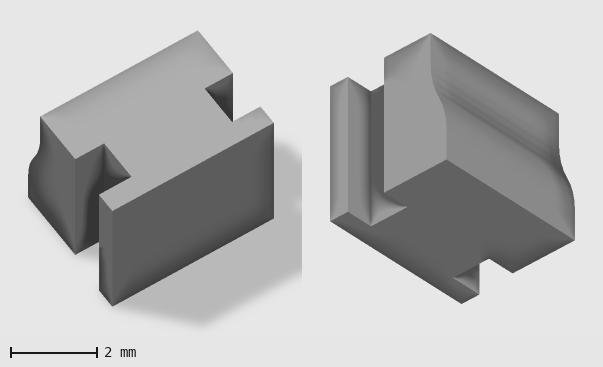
import cadquery as cq
import math

length = 3.66
width = 4.5
height = 3.83

flange_thickness = 0.56
slot_width = 1.14
head_step_y = 0.105
slot_floor_back = 0.79
slot_floor_front = 0.91

face_setback = 0.5
lower_flat_height = 0.865
lower_arc_height = 1.03
upper_arc_height = 1.075

flange_x = length - flange_thickness
head_back_x = flange_x - slot_width
lower_arc_end_z = lower_flat_height + lower_arc_height
upper_arc_end_z = lower_arc_end_z + upper_arc_height

curve_height = lower_arc_height + upper_arc_height
arc_sweep = 2 * math.atan(face_setback / curve_height)
lower_radius = lower_arc_height / math.sin(arc_sweep)
arc_join_x = lower_radius * (1 - math.cos(arc_sweep))


def make_head():
    """Block with the S-shaped -X face, extruded along Y."""
    return (
        cq.Workplane("XZ", origin=(0, width, 0))
        .moveTo(0, 0)
        .lineTo(0, lower_flat_height)
        .tangentArcPoint((arc_join_x, lower_arc_end_z), relative=False)
        .tangentArcPoint((face_setback, upper_arc_end_z), relative=False)
        .lineTo(face_setback, height)
        .lineTo(head_back_x, height)
        .lineTo(head_back_x, 0)
        .close()
        .extrude(width - head_step_y)
    )


def make_slab(x_start, x_end, y_start, y_end):
    """Full-height rectangular block between the given X and Y limits."""
    return (
        cq.Workplane("XY", origin=(x_start, y_start, 0))
        .rect(x_end - x_start, y_end - y_start, centered=False)
        .extrude(height)
    )


web = make_slab(head_back_x, flange_x, slot_floor_front, width - slot_floor_back)
flange = make_slab(flange_x, length, 0, width)

result = make_head().union(web).union(flange)